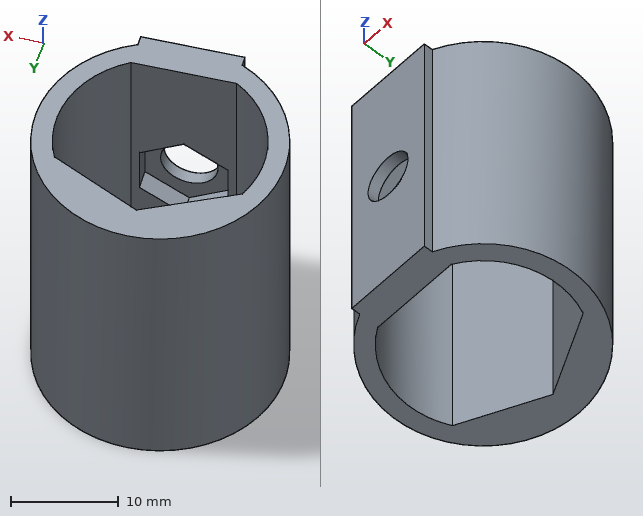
import cadquery as cq
import math

height = 30.0
outer_radius = 12.0
bore_radius = 10.0

front_flat_y = -8.6
roof_apex_y = 8.73
roof_side_x = 9.1
roof_side_y = 4.3
roof_slope = (roof_apex_y - roof_side_y) / roof_side_x

pad_width = 10.0
pad_face_y = -11.9
hole_diameter = 5.5
nut_across_flats = 8.5
nut_seat_depth = 1.3


def make_body():
    """Solid cylinder with a flat-faced pad along its full height."""
    cylinder = cq.Workplane("XY").circle(outer_radius).extrude(height)
    trim = cq.Workplane("XY").box(
        2 * outer_radius, outer_radius - pad_face_y, height, centered=(True, False, False)
    ).translate((0, pad_face_y, 0))
    pad = cq.Workplane("XY").box(
        pad_width, -pad_face_y, height, centered=(True, False, False)
    ).translate((0, pad_face_y, 0))
    return cylinder.intersect(trim).union(pad)


def make_bore():
    """Round bore bounded by the front flat and the two roof planes."""
    roof_edge_y = roof_apex_y - roof_slope * outer_radius
    envelope = (
        cq.Workplane("XY")
        .moveTo(-outer_radius, front_flat_y)
        .lineTo(outer_radius, front_flat_y)
        .lineTo(outer_radius, roof_edge_y)
        .lineTo(0, roof_apex_y)
        .lineTo(-outer_radius, roof_edge_y)
        .close()
        .extrude(height)
    )
    return cq.Workplane("XY").circle(bore_radius).extrude(height).intersect(envelope)


def make_screw_hole():
    """Hole from the pad face to the axis of the sleeve."""
    return (
        cq.Workplane("XZ", origin=(0, 0, height / 2))
        .circle(hole_diameter / 2)
        .extrude(outer_radius)
    )


def make_nut_pocket():
    """Hexagonal pocket, corner down, open to the bore."""
    nut_across_corners = nut_across_flats / math.cos(math.radians(30))
    seat_y = pad_face_y + nut_seat_depth
    return (
        cq.Workplane("XZ", origin=(0, seat_y, height / 2))
        .transformed(rotate=(0, 0, 30))
        .polygon(6, nut_across_corners)
        .extrude(seat_y - front_flat_y)
    )


result = make_body().cut(make_bore()).cut(make_screw_hole()).cut(make_nut_pocket())